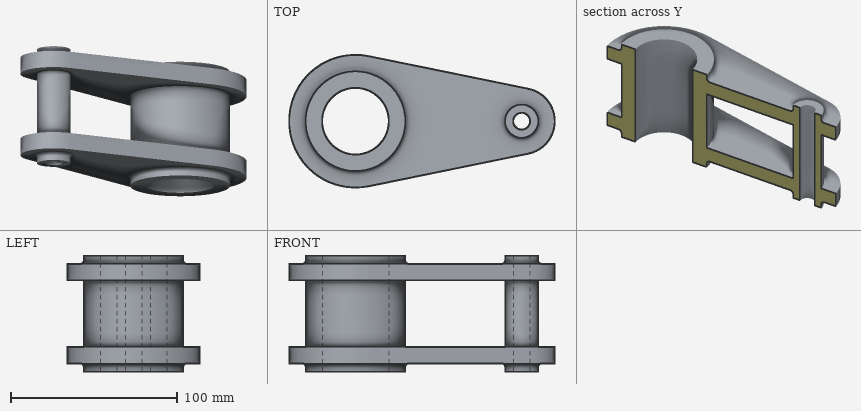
import cadquery as cq
import math

center_distance = 100.0
large_end_radius = 40.0
small_end_radius = 20.0
plate_thickness = 10.0
plate_gap = 40.0
tube_projection = 5.0
large_tube_diameter = 60.0
large_bore_diameter = 40.0
small_tube_diameter = 20.0
small_bore_diameter = 10.0
root_fillet_radius = 2.0

plate_outer_z = plate_gap / 2 + plate_thickness
tube_length = 2 * (plate_outer_z + tube_projection)

tubes = [
    (0.0, large_tube_diameter, large_bore_diameter),
    (center_distance, small_tube_diameter, small_bore_diameter),
]


def make_plate(bottom_z):
    """Link plate: two rounded ends joined by lines tangent to both."""
    tangent_cos = (large_end_radius - small_end_radius) / center_distance
    tangent_sin = math.sqrt(1 - tangent_cos**2)
    large_x = large_end_radius * tangent_cos
    large_y = large_end_radius * tangent_sin
    small_x = center_distance + small_end_radius * tangent_cos
    small_y = small_end_radius * tangent_sin
    return (
        cq.Workplane("XY")
        .workplane(offset=bottom_z)
        .moveTo(large_x, large_y)
        .threePointArc((-large_end_radius, 0), (large_x, -large_y))
        .lineTo(small_x, -small_y)
        .threePointArc((center_distance + small_end_radius, 0), (small_x, small_y))
        .close()
        .extrude(plate_thickness)
    )


def make_cylinder(axis_x, diameter):
    """Upright cylinder over the full tube length."""
    return (
        cq.Workplane("XY")
        .center(axis_x, 0)
        .circle(diameter / 2)
        .extrude(tube_length / 2, both=True)
    )


def make_root_fillet(axis_x, tube_diameter, side):
    """Concave-rimmed disc at the tube root on the top (side=1) or bottom (side=-1) plate face."""
    tube_radius = tube_diameter / 2
    foot_radius = tube_radius + root_fillet_radius
    face_z = side * plate_outer_z
    crest_z = face_z + side * root_fillet_radius
    arc_offset = root_fillet_radius * math.cos(math.radians(45))
    arc_middle = (foot_radius - arc_offset, crest_z - side * arc_offset)
    return (
        cq.Workplane("XZ")
        .moveTo(0, face_z)
        .lineTo(foot_radius, face_z)
        .threePointArc(arc_middle, (tube_radius, crest_z))
        .lineTo(0, crest_z)
        .close()
        .revolve(360, (0, 0, 0), (0, 1, 0))
        .translate((axis_x, 0, 0))
    )


body = make_plate(plate_gap / 2).union(make_plate(-plate_outer_z))
for axis_x, tube_diameter, bore_diameter in tubes:
    body = body.union(make_cylinder(axis_x, tube_diameter))
    for side in (1, -1):
        body = body.union(make_root_fillet(axis_x, tube_diameter, side))
    body = body.cut(make_cylinder(axis_x, bore_diameter))

result = body